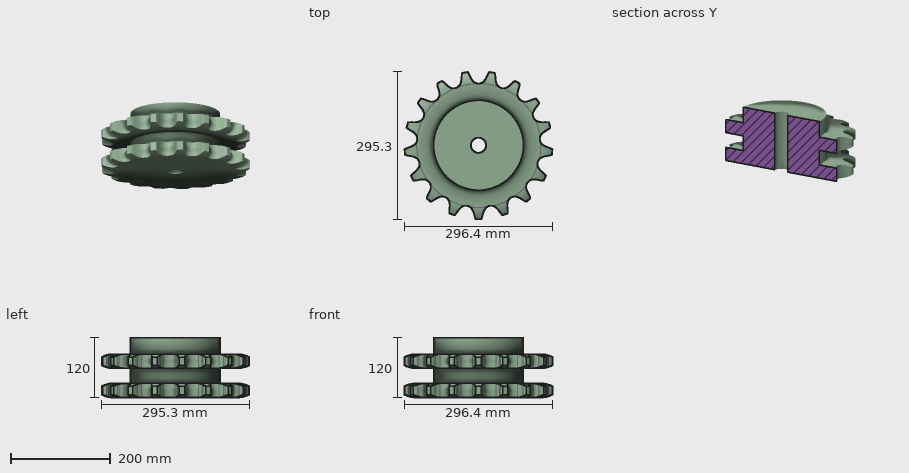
import cadquery as cq
import math

TOOTH_COUNT = 17
PITCH = 50.8
ROLLER_DIAMETER = 29.21
ROW_SPACING = 58.55
TOOTH_WIDTH = 28.8
TIP_DIAMETER = 296.9

ROUNDING_START_DIAMETER = 248.6
ROUNDING_DEPTH = 6.2

HUB_DIAMETER = 180.0
HUB_HEIGHT = 120.0
BORE_DIAMETER = 30.0

TOOTH_ANGLE = 360.0 / TOOTH_COUNT

SEATING_RATIO = 1.005
SEATING_CLEARANCE = 0.076
WORKING_RATIO = 1.3025
WORKING_CLEARANCE = 0.038
WORKING_CENTER_RATIO = 0.8
TOPPING_CENTER_RATIO = 1.4

SEATING_RADIUS = (SEATING_RATIO * ROLLER_DIAMETER + SEATING_CLEARANCE) / 2.0
WORKING_RADIUS = WORKING_RATIO * ROLLER_DIAMETER + WORKING_CLEARANCE
WORKING_CENTER_DISTANCE = WORKING_CENTER_RATIO * ROLLER_DIAMETER
TOPPING_CENTER_DISTANCE = TOPPING_CENTER_RATIO * ROLLER_DIAMETER
SEATING_ANGLE = 35.0 + 60.0 / TOOTH_COUNT
WORKING_ANGLE = 18.0 - 56.0 / TOOTH_COUNT
TOPPING_ANGLE = 17.0 - 64.0 / TOOTH_COUNT

PITCH_RADIUS = PITCH / (2.0 * math.sin(math.pi / TOOTH_COUNT))
TIP_RADIUS = TIP_DIAMETER / 2.0
AXIS = (0.0, 0.0)


def polar(radius, degrees, center=AXIS):
    """Point at the given radius and angle around a centre."""
    angle = math.radians(degrees)
    return (center[0] + radius * math.cos(angle), center[1] + radius * math.sin(angle))


def direction_to(center, point):
    """Angle in degrees of the direction from a centre to a point."""
    return math.degrees(math.atan2(point[1] - center[1], point[0] - center[0]))


def gap_flank():
    """Points of the right flank of a gap that is centred on +Y, from the root to the tooth tip.

    The flank is a seating arc, a tangent working arc, a short straight and a topping arc.
    """
    roller_center = (0.0, PITCH_RADIUS)
    root = (0.0, PITCH_RADIUS - SEATING_RADIUS)
    seating_end = polar(SEATING_RADIUS, -SEATING_ANGLE, roller_center)

    working_center = polar(WORKING_CENTER_DISTANCE, 180.0 - SEATING_ANGLE, roller_center)
    working_mid = polar(WORKING_RADIUS, -SEATING_ANGLE + WORKING_ANGLE / 2.0, working_center)
    flank_normal = -SEATING_ANGLE + WORKING_ANGLE
    working_end = polar(WORKING_RADIUS, flank_normal, working_center)

    topping_reach = TOPPING_CENTER_DISTANCE * math.sin(math.radians(TOPPING_ANGLE))
    working_reach = WORKING_CENTER_DISTANCE * math.sin(math.radians(WORKING_ANGLE))
    straight_length = topping_reach - working_reach
    straight_end = polar(straight_length, flank_normal + 90.0, working_end)

    topping_center = polar(TOPPING_CENTER_DISTANCE, -TOOTH_ANGLE / 2.0, roller_center)
    topping_radius = math.dist(topping_center, straight_end)

    center_distance = math.hypot(*topping_center)
    cosine = (TIP_RADIUS**2 + center_distance**2 - topping_radius**2) / (
        2.0 * TIP_RADIUS * center_distance
    )
    corner_angle = direction_to(AXIS, topping_center) + math.degrees(math.acos(cosine))
    tip_corner = polar(TIP_RADIUS, corner_angle)
    topping_start = direction_to(topping_center, straight_end) % 360.0
    topping_stop = direction_to(topping_center, tip_corner) % 360.0
    topping_mid_angle = (topping_start + topping_stop) / 2.0
    topping_mid = polar(topping_radius, topping_mid_angle, topping_center)
    return {
        "root": root,
        "seating_end": seating_end,
        "working_mid": working_mid,
        "working_end": working_end,
        "straight_end": straight_end,
        "topping_mid": topping_mid,
        "tip_corner": tip_corner,
    }


def tooth_outline():
    """Closed outline of all the teeth, drawn gap by gap counter-clockwise."""
    flank = gap_flank()

    def right(name, turn):
        x, y = flank[name]
        return polar(math.hypot(x, y), direction_to(AXIS, (x, y)) + turn)

    def left(name, turn):
        x, y = flank[name]
        return polar(math.hypot(x, y), direction_to(AXIS, (-x, y)) + turn)

    outline = cq.Workplane("XY").moveTo(*flank["tip_corner"])
    for gap in range(TOOTH_COUNT):
        turn = gap * TOOTH_ANGLE
        next_turn = turn + TOOTH_ANGLE
        tip_mid = polar(TIP_RADIUS, 90.0 + turn + TOOTH_ANGLE / 2.0)
        outline = (
            outline.threePointArc(right("topping_mid", turn), right("straight_end", turn))
            .lineTo(*right("working_end", turn))
            .threePointArc(right("working_mid", turn), right("seating_end", turn))
            .threePointArc(right("root", turn), left("seating_end", turn))
            .threePointArc(left("working_mid", turn), left("working_end", turn))
            .lineTo(*left("straight_end", turn))
            .threePointArc(left("topping_mid", turn), left("tip_corner", turn))
            .threePointArc(tip_mid, right("tip_corner", next_turn))
        )
    return outline.close()


def rounded_disc():
    """Disc whose rim is rounded on both sides by arcs tangent to the flat faces."""
    start_radius = ROUNDING_START_DIAMETER / 2.0
    run = TIP_RADIUS - start_radius
    arc_radius = (run**2 + ROUNDING_DEPTH**2) / (2.0 * ROUNDING_DEPTH)
    half_sweep = math.degrees(math.asin(run / arc_radius)) / 2.0
    mid_x, mid_z = polar(arc_radius, 90.0 - half_sweep, (start_radius, -arc_radius))
    profile = (
        cq.Workplane("XZ")
        .lineTo(start_radius, 0.0)
        .threePointArc((mid_x, -mid_z), (TIP_RADIUS, ROUNDING_DEPTH))
        .lineTo(TIP_RADIUS, TOOTH_WIDTH - ROUNDING_DEPTH)
        .threePointArc((mid_x, TOOTH_WIDTH + mid_z), (start_radius, TOOTH_WIDTH))
        .lineTo(0.0, TOOTH_WIDTH)
        .close()
    )
    return profile.revolve(360.0, (0.0, 0.0), (0.0, 1.0))


def toothed_plate():
    """One row of teeth with its bottom face at Z = 0."""
    return tooth_outline().extrude(TOOTH_WIDTH).intersect(rounded_disc())


def sprocket():
    """Full-height hub joined to both rows of teeth and bored through."""
    plate = toothed_plate()
    body = cq.Workplane("XY").circle(HUB_DIAMETER / 2.0).extrude(HUB_HEIGHT)
    for row_base in (0.0, ROW_SPACING):
        body = body.union(plate.translate((0.0, 0.0, row_base)))
    bore = cq.Workplane("XY").circle(BORE_DIAMETER / 2.0).extrude(HUB_HEIGHT)
    return body.cut(bore)


result = sprocket()